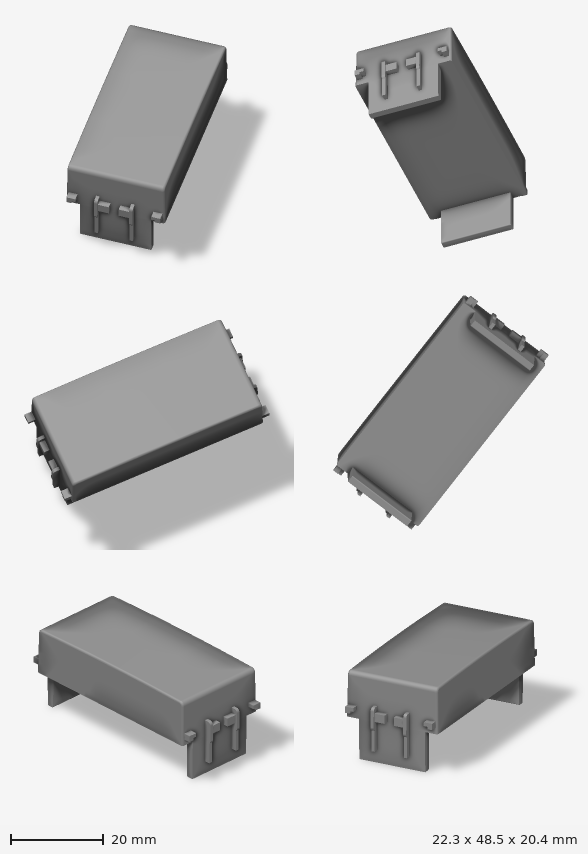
import cadquery as cq

overall_length = 48.45

cover_width = 22.3
cover_length = 45.05
cover_height = 11.0
crown_rise = 0.4
side_draft = 0.2
end_draft = 0.15
end_edge_radius = 1.0
side_edge_radius = 0.5

leg_width = 16.1
leg_depth = 9.4
leg_thickness = 1.9
leg_draft = 0.15
leg_edge_radius = 0.25

blade_thickness = 0.78
blade_center_x = 3.95
blade_bottom = -6.35
blade_shoulder = 3.05
blade_top_radius = 0.78
blade_top = blade_shoulder + blade_top_radius
blade_face_y = 24.15
blade_stem_y = 23.85
blade_nose_y = overall_length / 2
nose_start = -0.75
nose_mid_y = 24.1
nose_mid_z = -1.15
nose_end = -1.45

block_inner_x = 1.1
block_bottom = 0.6
block_top = 2.5
block_face_y = 23.8

tab_inner_x = 8.58
tab_outer_x = 10.6
tab_step_x = 9.45
tab_bottom = 1.5
tab_step_z = 2.1
tab_top = 2.95
tab_face_y = 24.15

root_depth = 0.5
root_y = cover_length / 2 - root_depth


def make_cover():
    """Drafted box, cut to a crowned top, with rounded edges."""
    half_x = cover_width / 2
    half_y = cover_length / 2
    edge_height = cover_height - crown_rise
    side_profile = (
        cq.Workplane("YZ")
        .moveTo(-half_y, 0)
        .lineTo(half_y, 0)
        .lineTo(half_y - end_draft, edge_height)
        .threePointArc((0, cover_height), (-half_y + end_draft, edge_height))
        .close()
        .extrude(half_x, both=True)
    )
    end_profile = (
        cq.Workplane("XZ")
        .polyline([
            (-half_x, 0),
            (half_x, 0),
            (half_x - side_draft, cover_height),
            (-half_x + side_draft, cover_height),
        ])
        .close()
        .extrude(half_y, both=True)
    )
    cover = side_profile.intersect(end_profile)
    cover = cover.faces(">Z").edges("<Y or >Y").fillet(end_edge_radius)
    return cover.faces("<X or >X").edges("not <Z").fillet(side_edge_radius)


def make_leg():
    """Plate below the +Y end, thinning slightly toward its foot."""
    outer_y = cover_length / 2
    inner_y = outer_y - leg_thickness
    return (
        cq.Workplane("YZ")
        .polyline([
            (inner_y, 0),
            (outer_y, 0),
            (outer_y - leg_draft, -leg_depth),
            (inner_y + leg_draft, -leg_depth),
        ])
        .close()
        .extrude(leg_width / 2, both=True)
        .faces("<Z")
        .edges("<Y")
        .fillet(leg_edge_radius)
    )


def make_blade():
    """Upright blade with a rounded top, leaning out to a rounded nose above a narrower stem."""
    return (
        cq.Workplane("YZ")
        .moveTo(root_y, blade_bottom)
        .lineTo(blade_stem_y, blade_bottom)
        .lineTo(blade_stem_y, nose_end)
        .threePointArc((nose_mid_y, nose_mid_z), (blade_nose_y, nose_start))
        .lineTo(blade_face_y, blade_shoulder)
        .radiusArc((blade_face_y - blade_top_radius, blade_top), -blade_top_radius)
        .lineTo(root_y, blade_top)
        .close()
        .extrude(blade_thickness / 2, both=True)
        .translate((blade_center_x, 0, 0))
    )


def make_block():
    """Rectangular block on the inner side of the blade."""
    return (
        cq.Workplane("XY")
        .workplane(offset=block_bottom)
        .moveTo(block_inner_x, root_y)
        .lineTo(blade_center_x, root_y)
        .lineTo(blade_center_x, block_face_y)
        .lineTo(block_inner_x, block_face_y)
        .close()
        .extrude(block_top - block_bottom)
    )


def make_tab():
    """Corner tab with an L-shaped section running along Y."""
    return (
        cq.Workplane("XZ", origin=(0, tab_face_y, 0))
        .polyline([
            (tab_inner_x, tab_top),
            (tab_outer_x, tab_top),
            (tab_outer_x, tab_bottom),
            (tab_step_x, tab_bottom),
            (tab_step_x, tab_step_z),
            (tab_inner_x, tab_step_z),
        ])
        .close()
        .extrude(tab_face_y - root_y)
    )


corner_details = make_blade().union(make_block()).union(make_tab())
end_details = corner_details.union(corner_details.mirror("YZ")).union(make_leg())
result = make_cover().union(end_details).union(end_details.mirror("XZ"))